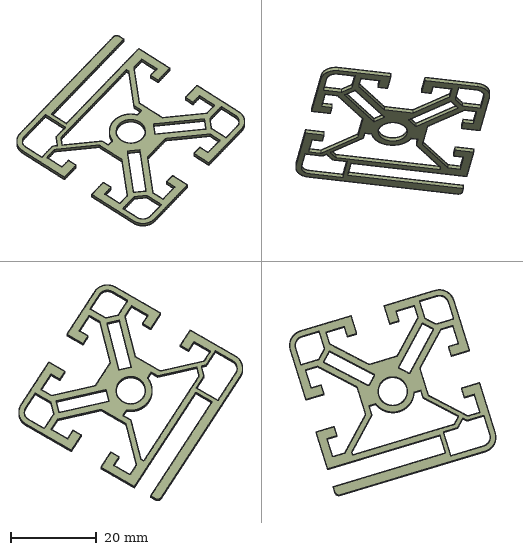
import cadquery as cq

side = 40.0
half = side / 2
thickness = 1.0
corner_radius = 3.5
tip_radius = 1.0
wall = 1.3
inner_half = half - wall

mouth_half = 4.05
lip_inner = 6.3
lip_depth = 4.45
slot_wall = 2.0
slot_half = 10.8
core_half = 7.7
slot_diagonal = 4.3

bore_radius = 3.4
hub_radius = 5.0

strut_slot_start = 5.55
strut_slot_end = 17.55
strut_slot_width = 2.95
corner_pocket_inner = 12.3
corner_pocket_chamfer = 2.1

channel_left = -17.7
channel_right = -13.25
channel_floor = -7.5

hub_pocket_left = -11.75
hub_pocket_right = -1.7
hub_pocket_top = 13.4
hub_pocket_half = 6.3
upper_diagonal = 2.35
lower_diagonal = 2.8
hub_pocket_corner_sum = 23.15

left_pocket_top = -8.5
left_pocket_step = -12.75
left_pocket_right = hub_pocket_left
left_pocket_corner_sum = 24.7


def prism(points):
    return cq.Workplane("XY").polyline(points).close().extrude(thickness)


def cylinder(radius):
    return cq.Workplane("XY").circle(radius).extrude(thickness)


def turned(body, angle):
    return body.rotate((0, 0, 0), (0, 0, 1), angle)


def t_slot():
    """Cutter for the T-slot that opens toward +Y."""
    right_side = [
        (core_half - slot_diagonal, core_half),
        (slot_half, slot_half + slot_diagonal),
        (slot_half, half - slot_wall),
        (lip_inner, half - slot_wall),
        (lip_inner, half - lip_depth),
        (mouth_half, half - lip_depth),
        (mouth_half, half),
    ]
    left_side = [(-x, y) for x, y in reversed(right_side)]
    return prism(right_side + left_side)


def strut_slot():
    """Cutter for a strut slot lying along +X, before it is turned."""
    length = strut_slot_end - strut_slot_start
    middle = (strut_slot_start + strut_slot_end) / 2
    slot = cq.Workplane("XY").center(middle, 0).rect(length, strut_slot_width)
    return slot.extrude(thickness)


def corner_pocket():
    """Cutter for the pocket in the +X +Y corner."""
    chamfer_end = corner_pocket_inner + corner_pocket_chamfer
    pocket = prism([
        (corner_pocket_inner, chamfer_end),
        (chamfer_end, corner_pocket_inner),
        (inner_half, corner_pocket_inner),
        (inner_half, inner_half),
        (corner_pocket_inner, inner_half),
    ])
    return pocket.edges("|Z and >(1,1,0)").fillet(corner_radius - wall)


def channel():
    width = channel_right - channel_left
    length = half - channel_floor
    return cq.Workplane("XY").rect(width, length).extrude(thickness).translate(
        ((channel_left + channel_right) / 2, channel_floor + length / 2, 0)
    )


def hub_pocket():
    """Cutter for the large left pocket, leaving the round hub in place."""
    corner_x = -(hub_pocket_corner_sum - lower_diagonal) / 2
    pocket = prism([
        (hub_pocket_left, hub_pocket_top),
        (upper_diagonal - hub_pocket_top, hub_pocket_top),
        (upper_diagonal - hub_pocket_half, hub_pocket_half),
        (hub_pocket_right, hub_pocket_half),
        (hub_pocket_right, -hub_pocket_half),
        (lower_diagonal - hub_pocket_half, -hub_pocket_half),
        (corner_x, corner_x - lower_diagonal),
        (hub_pocket_left, -hub_pocket_corner_sum - hub_pocket_left),
    ])
    return pocket.cut(cylinder(hub_radius))


def left_pocket():
    notch_x = -(left_pocket_corner_sum - lower_diagonal) / 2
    pocket = prism([
        (-inner_half, left_pocket_top),
        (left_pocket_step, left_pocket_top),
        (left_pocket_step, -left_pocket_corner_sum - left_pocket_step),
        (notch_x, notch_x - lower_diagonal),
        (left_pocket_right, left_pocket_right - lower_diagonal),
        (left_pocket_right, -inner_half),
        (-inner_half, -inner_half),
    ])
    return pocket.edges("|Z and <(1,1,0)").fillet(corner_radius - wall)


plate = cq.Workplane("XY").rect(side, side).extrude(thickness)
plate = plate.edges("|Z and (>X or <Y)").fillet(corner_radius)
plate = plate.edges("|Z and <(1,-1,0)").fillet(tip_radius)

for slot_angle in (0, -90, 180):
    plate = plate.cut(turned(t_slot(), slot_angle))

for strut_angle in (45, -45):
    plate = plate.cut(turned(strut_slot(), strut_angle))
    plate = plate.cut(turned(corner_pocket(), strut_angle - 45))

plate = plate.cut(channel())
plate = plate.cut(hub_pocket())
plate = plate.cut(left_pocket())

result = plate.cut(cylinder(bore_radius))